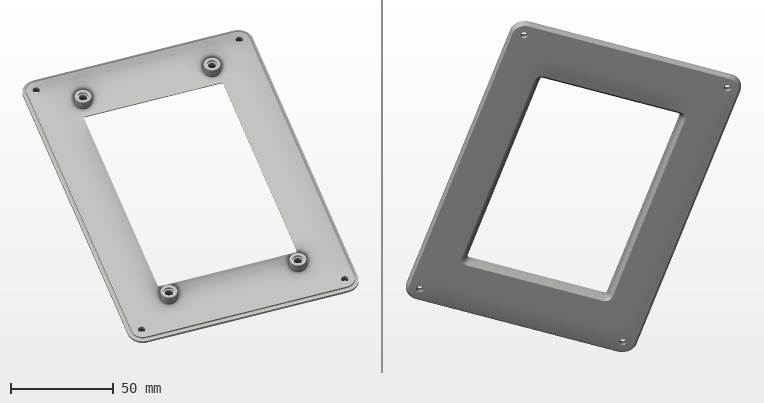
import cadquery as cq

length = 177.1
width = 117.6
height = 8.3
plate_thickness = 3.4
corner_radius = 7.5
field_inset = 2.0
field_height = 0.9
lower_bevel = 1.2

window_length = 115.5
window_width = 71.4
window_corner_radius = 1.0
window_wall_depth = 0.5
window_flare_angle = 45

screw_hole_diameter = 3.5
screw_spacing_x = 163.0
screw_spacing_y = 104.0

standoff_diameter = 8.1
standoff_spacing_x = 132.8
standoff_spacing_y = 66.0
counterbore_diameter = 5.1
counterbore_depth = 1.0
bore_diameter = 3.9
bore_depth = 5.0
drill_point_depth = 1.2


def rounded_block(size_x, size_y, size_z, radius):
    """Block standing on the XY plane with rounded vertical edges."""
    block = cq.Workplane("XY").box(size_x, size_y, size_z, centered=(True, True, False))
    return block.edges("|Z").fillet(radius)


def make_plate():
    ledge_height = plate_thickness - field_height
    base = rounded_block(length, width, ledge_height, corner_radius)
    base = base.faces("<Z").edges().chamfer(lower_bevel)
    field = rounded_block(
        length - 2 * field_inset,
        width - 2 * field_inset,
        field_height,
        corner_radius - field_inset,
    )
    return base.union(field.translate((0, 0, ledge_height)))


def make_window():
    """Cutter that has the window size at the plate top and is wider at the underside."""
    outline = cq.Sketch().rect(window_length, window_width).vertices().fillet(window_corner_radius)
    flare_depth = plate_thickness - window_wall_depth
    wall = cq.Workplane("XY").workplane(offset=flare_depth).placeSketch(outline).extrude(window_wall_depth)
    flare = (
        cq.Workplane("XY").workplane(offset=flare_depth)
        .placeSketch(outline)
        .extrude(-flare_depth, taper=-window_flare_angle)
    )
    return wall.union(flare)


def make_screw_holes():
    return (
        cq.Workplane("XY")
        .rarray(screw_spacing_x, screw_spacing_y, 2, 2)
        .circle(screw_hole_diameter / 2)
        .extrude(plate_thickness)
    )


def make_post():
    """Standoff post, rising from the top of the plate."""
    post_height = height - plate_thickness
    return (
        cq.Workplane("XY").workplane(offset=plate_thickness)
        .circle(standoff_diameter / 2)
        .extrude(post_height)
    )


def make_bore():
    """Cutter for a standoff hole: counterbore, bore and conical drill point."""
    counterbore_floor = height - counterbore_depth
    bore_floor = height - bore_depth
    return (
        cq.Workplane("XZ")
        .moveTo(0, height)
        .lineTo(counterbore_diameter / 2, height)
        .lineTo(counterbore_diameter / 2, counterbore_floor)
        .lineTo(bore_diameter / 2, counterbore_floor)
        .lineTo(bore_diameter / 2, bore_floor)
        .lineTo(0, bore_floor - drill_point_depth)
        .close()
        .revolve(360, (0, 0, 0), (0, 1, 0))
    )


result = make_plate().cut(make_window()).cut(make_screw_holes())
for x in (-standoff_spacing_x / 2, standoff_spacing_x / 2):
    for y in (-standoff_spacing_y / 2, standoff_spacing_y / 2):
        result = result.union(make_post().translate((x, y, 0)))
        result = result.cut(make_bore().translate((x, y, 0)))